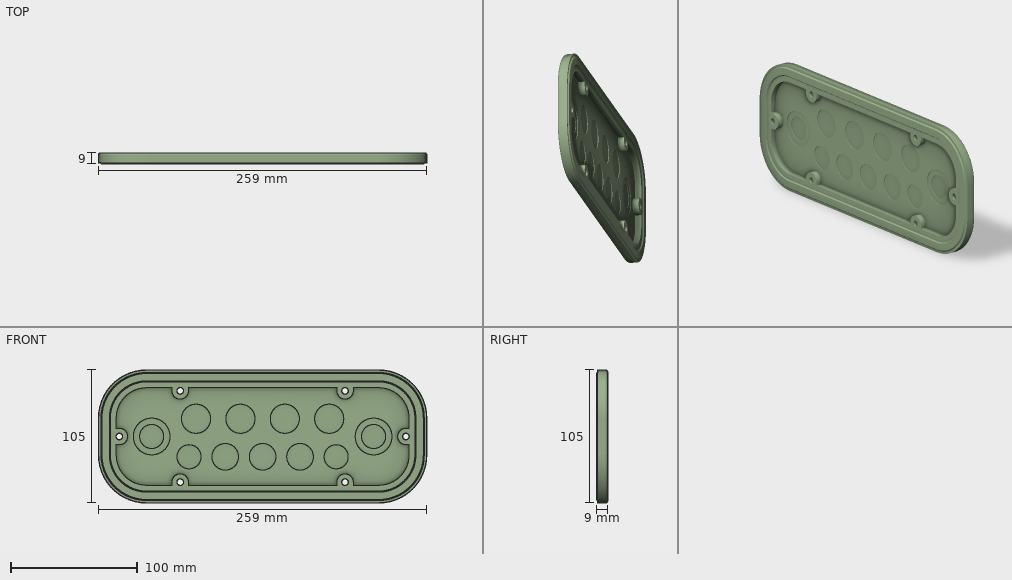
import cadquery as cq
import math

LENGTH = 259.0
HEIGHT = 105.0
THICKNESS = 9.0
CORNER_RADIUS = 38.0

BACK_EDGE_RADIUS = 2.0

RIB_HEIGHT = 1.0
RIB_SLOPE = 0.8
RIB_OUTER_INSET = 2.0
RIB_INNER_INSET = 9.4

POCKET_INSET = 14.0
FLOOR_THICKNESS = 3.0

BOSS_RADIUS = 6.5
SCREW_HOLE_DIAMETER = 5.0
SIDE_BOSS_X = 65.0
SIDE_BOSS_Z = 36.0
END_BOSS_X = 113.0

KNOCKOUT_DEPTH = 0.5
UPPER_RADIUS = 11.5
UPPER_COUNT = 4
UPPER_PITCH = 35.0
UPPER_Z = 14.0
LOWER_Z = -16.0
LOWER_INNER_COUNT = 3
LOWER_INNER_RADIUS = 10.5
LOWER_INNER_PITCH = 29.5
LOWER_OUTER_RADIUS = 9.5
LOWER_OUTER_X = 58.0
END_X = 87.5
END_OUTER_RADIUS = 14.5
END_INNER_RADIUS = 9.5
END_INNER_DEPTH = 2 * KNOCKOUT_DEPTH

BACK_Y = THICKNESS / 2
RIB_TOP_Y = -THICKNESS / 2
FLANGE_Y = RIB_TOP_Y + RIB_HEIGHT
FLOOR_Y = BACK_Y - FLOOR_THICKNESS


def plane_at(y):
    """Workplane at the given Y, with local x, y along X, Z and normal toward -Y."""
    return cq.Workplane("XZ", origin=(0, y, 0))


def rounded_rectangle(inset):
    """Sketch of the plate outline moved inward by inset, with concentric corners."""
    sketch = cq.Sketch().rect(LENGTH - 2 * inset, HEIGHT - 2 * inset)
    return sketch.vertices().fillet(CORNER_RADIUS - inset)


def slab(inset, start_y, end_y):
    """Straight-sided rounded slab from start_y toward -Y to end_y."""
    profile = rounded_rectangle(inset)
    return plane_at(start_y).placeSketch(profile).extrude(start_y - end_y)


def rib_slab(base_inset, top_inset):
    """Rounded slab of the rib's height whose inset changes evenly from base to top."""
    base = rounded_rectangle(base_inset)
    top = rounded_rectangle(top_inset)
    top = top.moved(cq.Location(cq.Vector(0, 0, RIB_HEIGHT)))
    return plane_at(FLANGE_Y).placeSketch(base, top).loft(ruled=True)


def make_plate():
    return slab(0, BACK_Y, FLANGE_Y).faces(">Y").edges().fillet(BACK_EDGE_RADIUS)


def make_rib():
    outer = rib_slab(RIB_OUTER_INSET, RIB_OUTER_INSET + RIB_SLOPE)
    inner = rib_slab(RIB_INNER_INSET, RIB_INNER_INSET - RIB_SLOPE)
    return outer.cut(inner)


def side_boss_positions():
    return [(x, z) for x in (-SIDE_BOSS_X, SIDE_BOSS_X) for z in (-SIDE_BOSS_Z, SIDE_BOSS_Z)]


def end_boss_positions():
    return [(-END_BOSS_X, 0), (END_BOSS_X, 0)]


def make_boss(x, z, wall_x, wall_z):
    """Round boss at (x, z), carried at full width to the nearest pocket wall point (wall_x, wall_z)."""
    height = FLOOR_Y - FLANGE_Y
    width = 2 * BOSS_RADIUS
    reach = math.hypot(wall_x - x, wall_z - z)
    web_angle = math.degrees(math.atan2(wall_z - z, wall_x - x))
    web = cq.Sketch().push([(reach / 2, 0)]).rect(reach, width).reset()
    profile = web.circle(BOSS_RADIUS).clean()
    location = cq.Location(cq.Vector(x, z, 0), cq.Vector(0, 0, 1), web_angle)
    return plane_at(FLOOR_Y).placeSketch(profile.moved(location)).extrude(height)


def add_bosses(plate):
    wall_x = LENGTH / 2 - POCKET_INSET
    wall_z = HEIGHT / 2 - POCKET_INSET
    for x, z in side_boss_positions():
        plate = plate.union(make_boss(x, z, x, math.copysign(wall_z, z)))
    for x, z in end_boss_positions():
        plate = plate.union(make_boss(x, z, math.copysign(wall_x, x), z))
    return plate


def make_screw_holes():
    centers = side_boss_positions() + end_boss_positions()
    return plane_at(BACK_Y).pushPoints(centers).circle(SCREW_HOLE_DIAMETER / 2).extrude(THICKNESS)


def centered_row(count, pitch, z):
    """Evenly spaced (x, z) points, symmetric about the middle of the plate."""
    return [((i - (count - 1) / 2) * pitch, z) for i in range(count)]


def mirrored_pair(x, z):
    return [(-x, z), (x, z)]


def cut_knockouts(plate, points, radius, depth):
    """Cut round recesses of the given depth below the pocket floor."""
    recesses = plane_at(FLOOR_Y + depth).pushPoints(points).circle(radius).extrude(depth)
    return plate.cut(recesses)


def cut_all_knockouts(plate):
    upper = centered_row(UPPER_COUNT, UPPER_PITCH, UPPER_Z)
    lower_inner = centered_row(LOWER_INNER_COUNT, LOWER_INNER_PITCH, LOWER_Z)
    lower_outer = mirrored_pair(LOWER_OUTER_X, LOWER_Z)
    ends = mirrored_pair(END_X, 0)
    plate = cut_knockouts(plate, upper, UPPER_RADIUS, KNOCKOUT_DEPTH)
    plate = cut_knockouts(plate, lower_inner, LOWER_INNER_RADIUS, KNOCKOUT_DEPTH)
    plate = cut_knockouts(plate, lower_outer, LOWER_OUTER_RADIUS, KNOCKOUT_DEPTH)
    plate = cut_knockouts(plate, ends, END_OUTER_RADIUS, KNOCKOUT_DEPTH)
    return cut_knockouts(plate, ends, END_INNER_RADIUS, END_INNER_DEPTH)


result = make_plate().cut(slab(POCKET_INSET, FLOOR_Y, FLANGE_Y))
result = add_bosses(result).union(make_rib())
result = cut_all_knockouts(result.cut(make_screw_holes()))